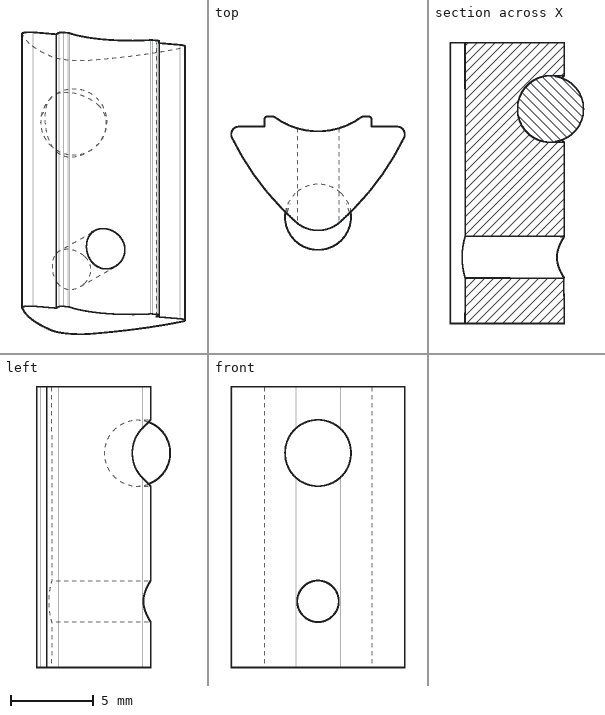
import cadquery as cq
import math

length = 17.0
back_y = 6.9
rib_height = 0.61
shoulder_y = back_y - rib_height

nose_radius = 2.0
nose_half_width = 1.35
nose_end_y = nose_radius - math.sqrt(nose_radius**2 - nose_half_width**2)
flank_mid_x = 3.5
flank_mid_y = 2.84
shoulder_half_width = 5.52
shoulder_radius = 0.48

rib_half_width = 3.25
rib_radius = 0.2
channel_radius = 4.42
channel_floor_y = 6.0
channel_depth = back_y - channel_floor_y
channel_half_width = math.sqrt(channel_radius**2 - (channel_radius - channel_depth)**2)

end_distance = 4.01
ball_radius = 2.0
ball_protrusion = 1.19
ball_y = ball_radius - ball_protrusion
ball_z = length - end_distance
hole_radius = 1.25
hole_z = end_distance


def bore(radius, z, end_y):
    """Cylinder along +Y from the nose tip to end_y."""
    return cq.Workplane("XZ", origin=(0, 0, z)).circle(radius).extrude(-end_y)


def edges_at(body, x, y):
    """Pair of lengthwise edges through (x, y) and (-x, y)."""
    middle = length / 2
    return body.edges(cq.selectors.NearestToPointSelector((x, y, middle))).add(
        body.edges(cq.selectors.NearestToPointSelector((-x, y, middle)))
    )


def make_block():
    block = (
        cq.Workplane("XY")
        .moveTo(-nose_half_width, nose_end_y)
        .threePointArc((0, 0), (nose_half_width, nose_end_y))
        .threePointArc((flank_mid_x, flank_mid_y), (shoulder_half_width, shoulder_y))
        .lineTo(rib_half_width, shoulder_y)
        .lineTo(rib_half_width, back_y)
        .lineTo(channel_half_width, back_y)
        .threePointArc((0, channel_floor_y), (-channel_half_width, back_y))
        .lineTo(-rib_half_width, back_y)
        .lineTo(-rib_half_width, shoulder_y)
        .lineTo(-shoulder_half_width, shoulder_y)
        .threePointArc((-flank_mid_x, flank_mid_y), (-nose_half_width, nose_end_y))
        .close()
        .extrude(length)
    )
    block = edges_at(block, shoulder_half_width, shoulder_y).fillet(shoulder_radius)
    block = edges_at(block, rib_half_width, back_y).fillet(rib_radius)
    block = edges_at(block, channel_half_width, back_y).fillet(rib_radius)

    block = block.cut(bore(ball_radius, ball_z, ball_y)).cut(make_ball())

    return block.cut(bore(hole_radius, hole_z, back_y))


def make_ball():
    return cq.Workplane("XY", origin=(0, ball_y, ball_z)).sphere(ball_radius)


block = make_block()
ball = make_ball()
result = cq.Compound.makeCompound([block.val(), ball.val()])